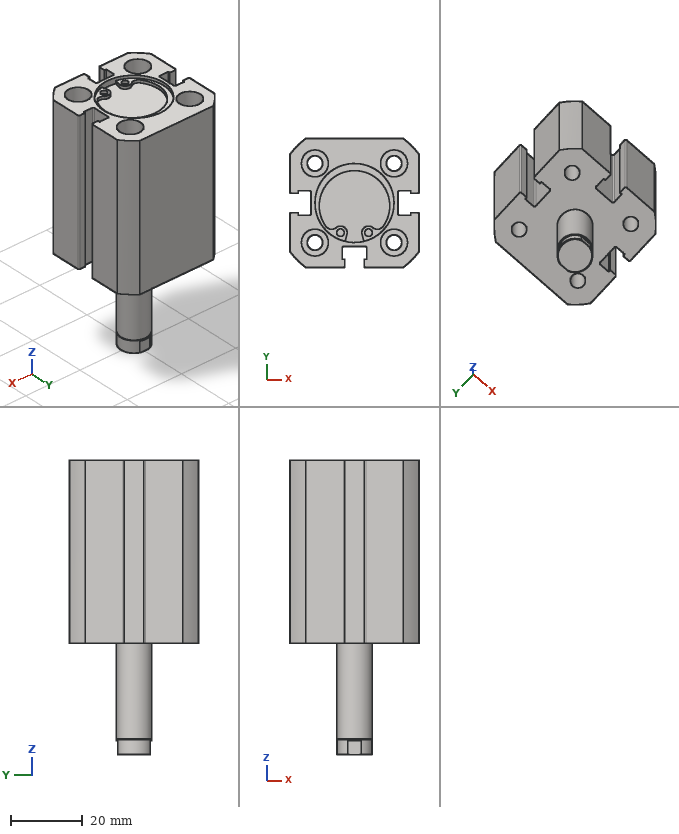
import cadquery as cq
import math

housing_width = 36.0
housing_height = 51.0
corner_diameter = 45.0
half_width = housing_width / 2

slot_mouth_width = 5.4
slot_inner_width = 6.7
slot_lip_thickness = 2.4
slot_depth = 5.9
slot_mouth_radius = 0.4
slot_inner_radius = 0.4
slot_directions = (180, 270, 0)

mount_pitch = 22.0
mount_hole_diameter = 4.2
counterbore_diameter = 7.5
counterbore_depth = 7.0

bore_diameter = 22.0
cap_thickness = 5.0
ring_thickness = 1.0
ring_recess = 1.0
ring_bottom = housing_height - ring_recess - ring_thickness
cap_bottom = ring_bottom - cap_thickness

ring_outer_radius = bore_diameter / 2
ring_inner_radius = 9.8
ring_inner_offset = -0.8
lug_x = 3.9
lug_y = -8.25
lug_radius = 1.85
lug_hole_diameter = 2.1
lug_blend_radius = 2.0

rod_diameter = 10.0
rod_extension = 31.0
rod_chamfer = 0.25
neck_length = 4.3
neck_diameter = 9.8
neck_chamfer = 0.2
flat_spacing = 9.1
flat_length = 4.0


def polar(center, radius, angle):
    """Point at an angle (in radians) on a circle."""
    return (center[0] + radius * math.cos(angle), center[1] + radius * math.sin(angle))


def direction(start, end):
    """Angle, in radians, of the line from start to end."""
    return math.atan2(end[1] - start[1], end[0] - start[0])


def make_slot(angle):
    """T-slot cutter opening in the +X direction, turned about Z by the angle in degrees."""
    mouth = cq.Workplane("XY").box(
        slot_depth, slot_mouth_width, housing_height, centered=(False, True, False)
    ).translate((half_width - slot_depth, 0, 0))
    inner_depth = slot_depth - slot_lip_thickness
    inner = cq.Workplane("XY").box(
        inner_depth, slot_inner_width, housing_height, centered=(False, True, False)
    ).edges("|Z and <X").fillet(slot_inner_radius).translate((half_width - slot_depth, 0, 0))
    return mouth.union(inner).rotate((0, 0, 0), (0, 0, 1), angle)


def round_slot_mouths(body):
    """Round the two long outer edges of every slot mouth."""
    reach = slot_mouth_radius / 2
    for angle in slot_directions:
        for side in (-1, 1):
            edge_angle = math.radians(angle) + side * math.atan2(slot_mouth_width / 2, half_width)
            edge_x, edge_y = polar((0, 0), math.hypot(half_width, slot_mouth_width / 2), edge_angle)
            near_edge = cq.selectors.BoxSelector(
                (edge_x - reach, edge_y - reach, 0),
                (edge_x + reach, edge_y + reach, housing_height),
            )
            body = body.edges("|Z").edges(near_edge).fillet(slot_mouth_radius)
    return body


def make_housing():
    body = cq.Workplane("XY").rect(housing_width, housing_width).extrude(housing_height)
    body = body.intersect(cq.Workplane("XY").circle(corner_diameter / 2).extrude(housing_height))
    for angle in slot_directions:
        body = body.cut(make_slot(angle))
    body = round_slot_mouths(body)
    body = (
        body.faces(">Z").workplane(origin=(0, 0, housing_height))
        .rect(mount_pitch, mount_pitch, forConstruction=True).vertices()
        .cboreHole(mount_hole_diameter, counterbore_diameter, counterbore_depth)
    )
    bore_depth = housing_height - cap_bottom
    bore = cq.Workplane("XY", origin=(0, 0, cap_bottom)).circle(bore_diameter / 2).extrude(bore_depth)
    rod_hole = cq.Workplane("XY").circle(rod_diameter / 2).extrude(cap_bottom)
    return body.cut(bore).cut(rod_hole)


def make_end_cap():
    return cq.Workplane("XY", origin=(0, 0, cap_bottom)).circle(bore_diameter / 2).extrude(cap_thickness)


def mirrored(point):
    """The point's mirror image across the YZ plane."""
    return (-point[0], point[1])


def make_retaining_ring():
    inner_center = (0, ring_inner_offset)
    inner_top = (0, ring_inner_offset + ring_inner_radius)
    outer_top = (0, ring_outer_radius)
    lug_center = (lug_x, lug_y)

    blend_to_inner = ring_inner_radius - lug_blend_radius
    blend_to_lug = lug_radius + lug_blend_radius
    inner_to_lug = math.dist(inner_center, lug_center)
    spread = math.acos(
        (blend_to_inner**2 + inner_to_lug**2 - blend_to_lug**2) / (2 * blend_to_inner * inner_to_lug)
    )
    blend_angle = direction(inner_center, lug_center) + spread
    blend_center = polar(inner_center, blend_to_inner, blend_angle)
    inner_end = polar(inner_center, ring_inner_radius, blend_angle)
    lug_start_angle = direction(lug_center, blend_center)
    lug_start = polar(lug_center, lug_radius, lug_start_angle)
    blend_middle_angle = (blend_angle + direction(blend_center, lug_center)) / 2
    blend_middle = polar(blend_center, lug_blend_radius, blend_middle_angle)

    lug_distance = math.hypot(lug_x, lug_y)
    gap_angle = direction((0, 0), lug_center) - math.asin(lug_radius / lug_distance)
    lug_end = polar((0, 0), math.sqrt(lug_distance**2 - lug_radius**2), gap_angle)
    lug_end_angle = direction(lug_center, lug_end) % (2 * math.pi)
    lug_middle = polar(lug_center, lug_radius, (lug_start_angle + lug_end_angle) / 2)
    outer_end = polar((0, 0), ring_outer_radius, gap_angle)

    ring = (
        cq.Workplane("XY", origin=(0, 0, ring_bottom))
        .moveTo(*mirrored(inner_end))
        .threePointArc(inner_top, inner_end)
        .threePointArc(blend_middle, lug_start)
        .threePointArc(lug_middle, lug_end)
        .lineTo(*outer_end)
        .threePointArc(outer_top, mirrored(outer_end))
        .lineTo(*mirrored(lug_end))
        .threePointArc(mirrored(lug_middle), mirrored(lug_start))
        .threePointArc(mirrored(blend_middle), mirrored(inner_end))
        .close()
        .extrude(ring_thickness)
    )
    plier_holes = (
        cq.Workplane("XY", origin=(0, 0, ring_bottom))
        .pushPoints([lug_center, mirrored(lug_center)])
        .circle(lug_hole_diameter / 2).extrude(ring_thickness)
    )
    return ring.cut(plier_holes)


def make_piston_rod():
    shank_bottom = neck_length - rod_extension
    shank = (
        cq.Workplane("XY", origin=(0, 0, shank_bottom))
        .circle(rod_diameter / 2).extrude(cap_bottom - shank_bottom)
        .faces("<Z").chamfer(rod_chamfer)
    )
    neck = (
        cq.Workplane("XY", origin=(0, 0, -rod_extension))
        .circle(neck_diameter / 2).extrude(neck_length)
        .faces("<Z").chamfer(neck_chamfer)
    )
    flat_offset = (flat_spacing + rod_diameter) / 2
    flat_cutters = (
        cq.Workplane("XY", origin=(0, 0, -rod_extension))
        .pushPoints([(0, -flat_offset), (0, flat_offset)])
        .rect(rod_diameter, rod_diameter).extrude(flat_length)
    )
    return shank.union(neck.cut(flat_cutters))


housing = make_housing()
end_cap = make_end_cap()
retaining_ring = make_retaining_ring()
piston_rod = make_piston_rod()

result = cq.Compound.makeCompound(
    [housing.val(), end_cap.val(), retaining_ring.val(), piston_rod.val()]
)